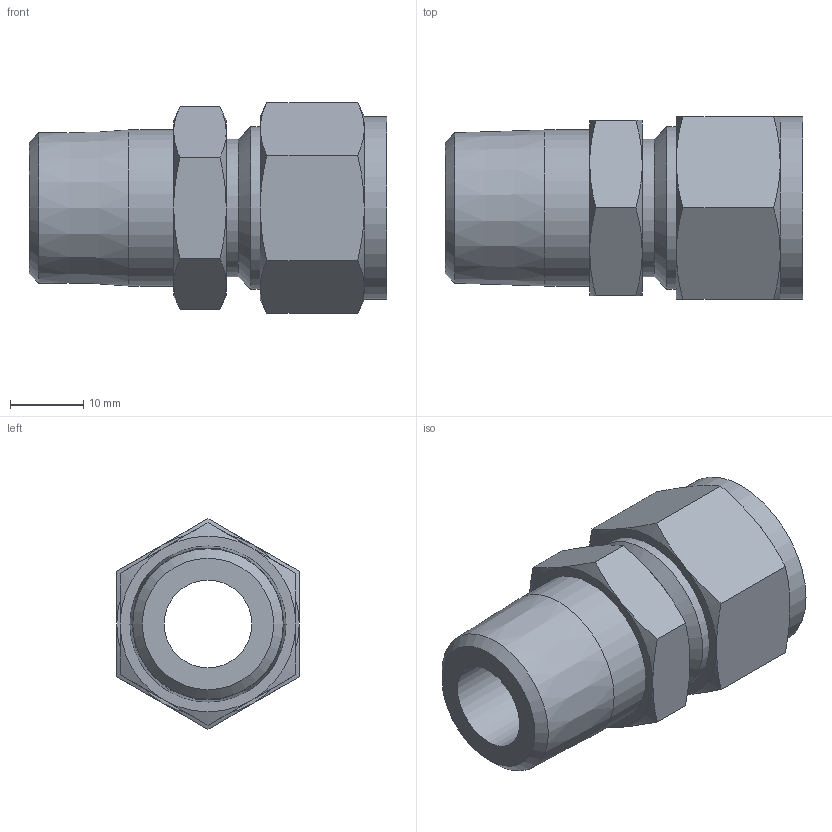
import cadquery as cq
import math

thread_chamfer_end = 1.3
taper_end = 13.65
body_hex_start = 19.8
body_hex_end = 27.0
neck_end = 28.65
cone_end = 30.35
nut_start = 31.65
nut_hex_end = 45.9
total_length = 49.0

bore_diameter = 12.0
thread_tip_diameter = 18.0
taper_small_diameter = 20.6
taper_ratio = 1 / 16
taper_large_diameter = taper_small_diameter + taper_ratio * (taper_end - thread_chamfer_end)
neck_diameter = 18.8
shoulder_diameter = 22.3

body_across_flats = 24.05
nut_across_flats = 25.0
nut_collar_diameter = nut_across_flats
chamfer_angle = 25.0


def corner_chamfered_hex(start, end, across_flats):
    """Hexagonal prism along X, its corners cut at both ends by a cone touching the flats."""
    across_corners = across_flats / math.cos(math.pi / 6)
    corner_radius = across_corners / 2
    face_radius = across_flats / 2
    chamfer_length = (corner_radius - face_radius) * math.tan(math.radians(chamfer_angle))
    prism = (
        cq.Workplane("YZ", origin=(start, 0, 0))
        .transformed(rotate=(0, 0, 90))
        .polygon(6, across_corners)
        .extrude(end - start)
    )
    envelope = (
        cq.Workplane("XY")
        .moveTo(start, 0)
        .lineTo(start, face_radius)
        .lineTo(start + chamfer_length, corner_radius)
        .lineTo(end - chamfer_length, corner_radius)
        .lineTo(end, face_radius)
        .lineTo(end, 0)
        .close()
        .revolve(360, (0, 0, 0), (1, 0, 0))
    )
    return prism.intersect(envelope)


def turned_body():
    """Every round section of the fitting as one revolved profile."""
    return (
        cq.Workplane("XY")
        .lineTo(0, thread_tip_diameter / 2)
        .lineTo(thread_chamfer_end, taper_small_diameter / 2)
        .lineTo(taper_end, taper_large_diameter / 2)
        .lineTo(body_hex_start, taper_large_diameter / 2)
        .lineTo(body_hex_start, neck_diameter / 2)
        .lineTo(neck_end, neck_diameter / 2)
        .lineTo(cone_end, shoulder_diameter / 2)
        .lineTo(nut_hex_end, shoulder_diameter / 2)
        .lineTo(nut_hex_end, nut_collar_diameter / 2)
        .lineTo(total_length, nut_collar_diameter / 2)
        .lineTo(total_length, 0)
        .close()
        .revolve(360, (0, 0, 0), (1, 0, 0))
    )


def through_bore():
    return cq.Workplane("YZ").circle(bore_diameter / 2).extrude(total_length)


body_hex = corner_chamfered_hex(body_hex_start, body_hex_end, body_across_flats)
nut_hex = corner_chamfered_hex(nut_start, nut_hex_end, nut_across_flats)

result = turned_body().union(body_hex).union(nut_hex).cut(through_bore())